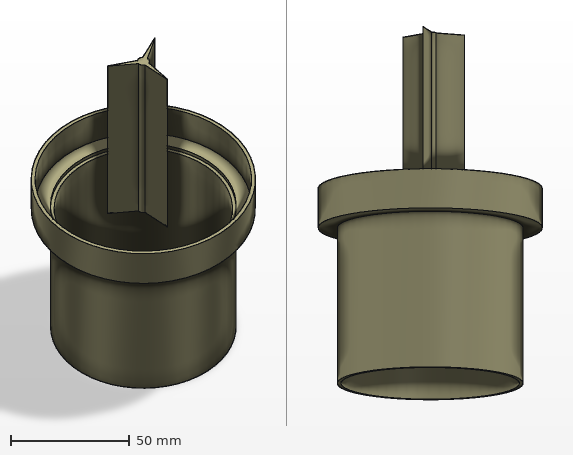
import cadquery as cq
import math

total_height = 150.4
tube_outer_diameter = 78.5
tube_inner_diameter = 75.4
collar_outer_diameter = 94.8
collar_inner_diameter = 91.5
collar_bottom = 66.8
collar_height = 16.8
collar_floor_thickness = 1.7
tube_top = collar_bottom
hub_radius = 2.5
blade_reach = 15.3
blade_root_half_width = 1.0
blade_tip_half_width = 0.1
blade_count = 3
first_blade_angle = 90.0


def make_tube():
    """Plain round tube standing on the base plane."""
    return (
        cq.Workplane("XY")
        .circle(tube_outer_diameter / 2)
        .circle(tube_inner_diameter / 2)
        .extrude(tube_top)
    )


def make_collar():
    """Open cup whose floor has a hole the size of the tube."""
    cup = (
        cq.Workplane("XY", origin=(0, 0, collar_bottom))
        .circle(collar_outer_diameter / 2)
        .extrude(collar_height)
    )
    bore = (
        cq.Workplane("XY", origin=(0, 0, collar_bottom + collar_floor_thickness))
        .circle(collar_inner_diameter / 2)
        .extrude(collar_height - collar_floor_thickness)
    )
    tube_hole = (
        cq.Workplane("XY", origin=(0, 0, collar_bottom))
        .circle(tube_outer_diameter / 2)
        .extrude(collar_floor_thickness)
    )
    return cup.cut(bore).cut(tube_hole)


def make_vane():
    """Round hub with equally spaced blades that taper to rounded tips."""
    vane_height = total_height - collar_bottom
    base = cq.Workplane("XY", origin=(0, 0, collar_bottom))
    vane = base.circle(hub_radius).extrude(vane_height)
    root_distance = math.sqrt(hub_radius**2 - blade_root_half_width**2)
    tip_start = blade_reach - blade_tip_half_width
    blade = (
        base.moveTo(0, 0)
        .lineTo(root_distance, -blade_root_half_width)
        .lineTo(tip_start, -blade_tip_half_width)
        .threePointArc((blade_reach, 0), (tip_start, blade_tip_half_width))
        .lineTo(root_distance, blade_root_half_width)
        .close()
        .extrude(vane_height)
    )
    for index in range(blade_count):
        angle = first_blade_angle + index * 360 / blade_count
        vane = vane.union(blade.rotate((0, 0, 0), (0, 0, 1), angle))
    return vane


tube = make_tube()
collar = make_collar()
vane = make_vane()

result = cq.Compound.makeCompound([tube.val(), collar.val(), vane.val()])